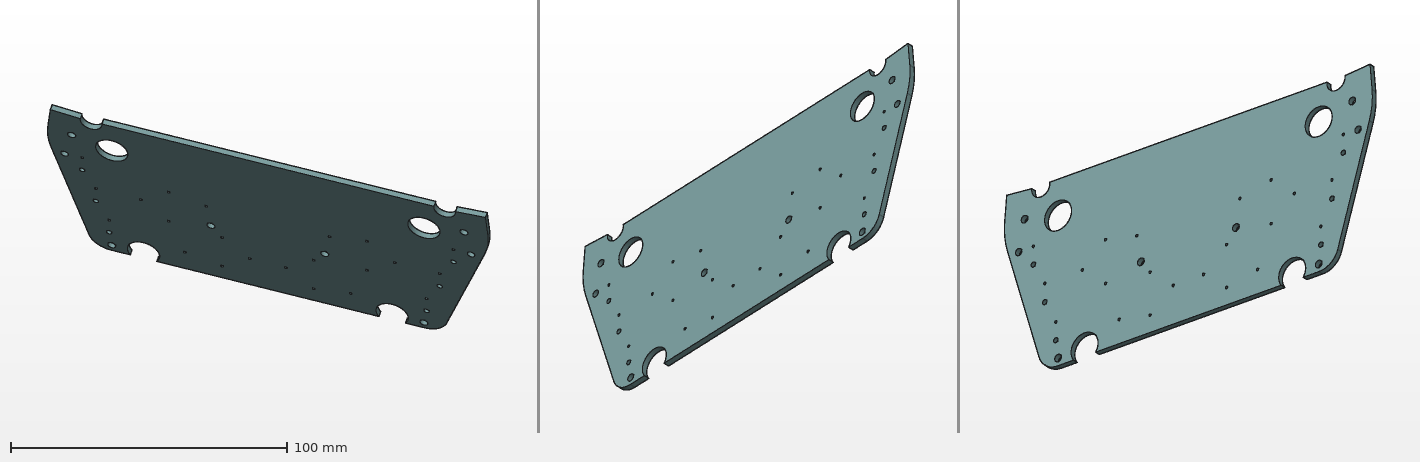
import cadquery as cq
import math

width = 166.8
height = 77.9
thickness = 2.3
half_width = width / 2

top_edge_z = 76.9
ear_tilt = 5.0
side_tilt = 16.5
shoulder_radius = 33.4
shoulder_z = 64.2
bottom_corner_radius = 8.8

large_diameter = 12.2
window_center = (59.0, 61.9)
bottom_notch_center = (47.0, 3.5)
top_notch_diameter = 8.2
top_notch_center = (66.9, 76.2)

large_hole_diameter = 3.0
large_holes = [(74.2, 65.4), (21.5, 30.5), (59.0, 3.2)]
outer_hole_diameter = 2.8
outer_holes = [(76.9, 52.7)]
medium_hole_diameter = 2.0
medium_holes = [(70.2, 45.4), (65.0, 28.2), (60.0, 10.8)]
small_hole_diameter = 1.0
small_holes = [
    (70.2, 52.9), (65.0, 35.9), (60.0, 18.3),
    (37.5, 44.9), (23.3, 41.9), (48.0, 35.9), (37.5, 26.8),
    (17.3, 24.8), (6.8, 16.0), (31.3, 10.0), (17.3, 7.2),
]


def shoulder_point(angle):
    """Point on the right shoulder arc, angle in degrees above horizontal."""
    a = math.radians(angle)
    center_x = half_width - shoulder_radius
    return (center_x + shoulder_radius * math.cos(a), shoulder_z + shoulder_radius * math.sin(a))


def mirrored(points):
    return points + [(-x, z) for x, z in points]


def cylinders(points, diameter):
    """Cutters through the plate at the given points and their mirror images."""
    return (
        cq.Workplane("XZ")
        .pushPoints(mirrored(points))
        .circle(diameter / 2)
        .extrude(-thickness)
    )


def right_half():
    ear_slope = math.tan(math.radians(ear_tilt))
    arc_top = shoulder_point(ear_tilt)
    arc_bottom = shoulder_point(-side_tilt)
    ear_tip_x = arc_top[0] - (height - arc_top[1]) * ear_slope
    ear_inner_x = ear_tip_x - (height - top_edge_z) / ear_slope
    base_x = arc_bottom[0] - arc_bottom[1] * math.tan(math.radians(side_tilt))
    half = (
        cq.Workplane("XZ")
        .moveTo(0, 0)
        .lineTo(base_x, 0)
        .lineTo(*arc_bottom)
        .threePointArc(shoulder_point(0), arc_top)
        .lineTo(ear_tip_x, height)
        .lineTo(ear_inner_x, top_edge_z)
        .lineTo(0, top_edge_z)
        .close()
        .extrude(-thickness)
    )
    bottom_corner = cq.selectors.NearestToPointSelector((base_x, thickness / 2, 0))
    return half.edges("|Y").edges(bottom_corner).fillet(bottom_corner_radius)


half_plate = right_half()
plate = half_plate.union(half_plate.mirror("YZ")).clean()

cutouts = [
    ([window_center, bottom_notch_center], large_diameter),
    ([top_notch_center], top_notch_diameter),
    (large_holes, large_hole_diameter),
    (outer_holes, outer_hole_diameter),
    (medium_holes, medium_hole_diameter),
    (small_holes, small_hole_diameter),
]
for centers, diameter in cutouts:
    plate = plate.cut(cylinders(centers, diameter))

result = plate